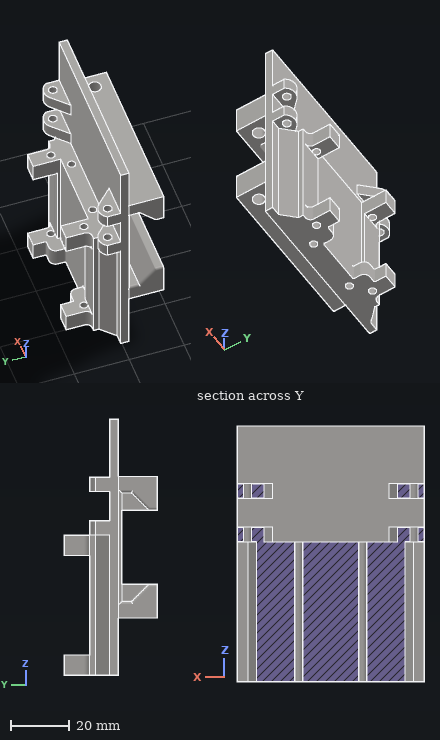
import cadquery as cq


PLATE_WIDTH = 64.3
PLATE_HEIGHT = 88.0
PLATE_THICKNESS = 3.0

CARRIAGE_HEIGHT = 48.1
CARRIAGE_HALF_WIDTH = 23.5
CARRIAGE_TOP_Y = 9.9
FLARE_RISE = 4.9
RECESS_Y = 8.6
CARRIAGE_HOLE_X = 11.0
CARRIAGE_HOLE_Y = 5.8
SMALL_HOLE_DIAMETER = 2.7

POST_CENTER_X = 17.25
POST_WIDTH = 5.7
POST_TOP_Y = 18.7
POST_HEIGHT = 7.0
POST_HOLE_Y = 11.2
POST_ROOT_RADIUS = 2.0

TAB_LENGTH = 5.2
TAB_TOP_Y = 13.9
TAB_CORNER_RADIUS = 2.5
TAB_ROOT_RADIUS = 0.4

EAR_CENTER_X = 28.6
EAR_RADIUS = 4.1
EAR_TOP_Y = CARRIAGE_TOP_Y
EAR_HEIGHT = 5.0
EAR_PITCH = 15.0
EAR_HOLE_Y = 6.5
EAR_HOLE_DIAMETER = 3.0

HOLDER_WIDTH = 60.0
HOLDER_HEIGHT = 48.75
HOLDER_DEPTH = 13.5
HOLDER_CENTER_Z = PLATE_HEIGHT / 2
FLOOR_THICKNESS = 1.2
CHANNEL_HALF_HEIGHT = 18.7
LIP_HALF_HEIGHT = 12.7
CHANNEL_WALL_DEPTH = 4.6
END_BLOCK_LENGTH = 9.9
LOCK_HOLE_DIAMETER = 4.5
LOCK_HOLE_X = 25.0
LOCK_HOLE_Y = -7.5
ENTRY_RADIUS = 1.0
END_WALL_RADIUS = 0.4
EDGE_MARGIN = 0.1

SIDES = (-1, 1)
ARC_INSET = 1 - 0.5**0.5


def prism(outline, z_bottom, height):
    """Extrude a closed XY outline upward from z_bottom."""
    return outline.close().extrude(height).translate((0, 0, z_bottom))


def vertical_hole(x, y, diameter, height):
    """Cutter for a hole along Z, starting at Z = 0."""
    return cq.Workplane("XY").center(x, y).circle(diameter / 2).extrude(height)


def make_plate():
    return cq.Workplane("XY").box(
        PLATE_WIDTH, PLATE_THICKNESS, PLATE_HEIGHT, centered=(True, False, False)
    )


def make_ear(side, z_bottom):
    """Ear flush with the plate side, round on top, with a 45 degree inner slope."""
    edge_x = PLATE_WIDTH / 2
    center_y = EAR_TOP_Y - EAR_RADIUS
    edge_dx = edge_x - EAR_CENTER_X
    edge_y = center_y + (EAR_RADIUS**2 - edge_dx**2) ** 0.5
    tangent = EAR_RADIUS / 2**0.5
    tangent_x = EAR_CENTER_X - tangent
    tangent_y = center_y + tangent
    foot_x = tangent_x - (tangent_y - PLATE_THICKNESS)
    outline = (
        cq.Workplane("XY")
        .moveTo(side * edge_x, PLATE_THICKNESS)
        .lineTo(side * edge_x, edge_y)
        .threePointArc((side * EAR_CENTER_X, EAR_TOP_Y), (side * tangent_x, tangent_y))
        .lineTo(side * foot_x, PLATE_THICKNESS)
    )
    ear = prism(outline, z_bottom, EAR_HEIGHT)
    return ear.cut(vertical_hole(side * EAR_CENTER_X, EAR_HOLE_Y, EAR_HOLE_DIAMETER, PLATE_HEIGHT))


def make_carriage_base():
    """Full-height base that flares at 45 degrees onto the plate, with a trough in its back."""
    foot_x = CARRIAGE_HALF_WIDTH + FLARE_RISE
    flare_y = PLATE_THICKNESS + FLARE_RISE
    trough_x = POST_CENTER_X - POST_WIDTH / 2
    outline = cq.Workplane("XY").polyline([
        (-foot_x, PLATE_THICKNESS),
        (-CARRIAGE_HALF_WIDTH, flare_y),
        (-CARRIAGE_HALF_WIDTH, CARRIAGE_TOP_Y),
        (-trough_x, CARRIAGE_TOP_Y),
        (-trough_x, RECESS_Y),
        (trough_x, RECESS_Y),
        (trough_x, CARRIAGE_TOP_Y),
        (CARRIAGE_HALF_WIDTH, CARRIAGE_TOP_Y),
        (CARRIAGE_HALF_WIDTH, flare_y),
        (foot_x, PLATE_THICKNESS),
    ])
    return prism(outline, 0, CARRIAGE_HEIGHT)


def make_post(side, z_bottom):
    """Post with a concave fillet at the outer side of its root."""
    inner_x = POST_CENTER_X - POST_WIDTH / 2
    outer_x = POST_CENTER_X + POST_WIDTH / 2
    arc_inset = POST_ROOT_RADIUS * ARC_INSET
    outline = (
        cq.Workplane("XY")
        .moveTo(side * inner_x, RECESS_Y)
        .lineTo(side * inner_x, POST_TOP_Y)
        .lineTo(side * outer_x, POST_TOP_Y)
        .lineTo(side * outer_x, CARRIAGE_TOP_Y + POST_ROOT_RADIUS)
        .threePointArc(
            (side * (outer_x + arc_inset), CARRIAGE_TOP_Y + arc_inset),
            (side * (outer_x + POST_ROOT_RADIUS), CARRIAGE_TOP_Y),
        )
        .lineTo(side * (outer_x + POST_ROOT_RADIUS), RECESS_Y)
    )
    return prism(outline, z_bottom, POST_HEIGHT)


def make_tab(side):
    """Tab at the bottom, in the corner of post and trough, with a rounded free corner."""
    root_x = POST_CENTER_X - POST_WIDTH / 2
    tip_x = root_x - TAB_LENGTH
    corner_inset = TAB_CORNER_RADIUS * ARC_INSET
    root_inset = TAB_ROOT_RADIUS * ARC_INSET
    outline = (
        cq.Workplane("XY")
        .moveTo(side * root_x, RECESS_Y)
        .lineTo(side * root_x, TAB_TOP_Y + TAB_ROOT_RADIUS)
        .threePointArc(
            (side * (root_x - root_inset), TAB_TOP_Y + root_inset),
            (side * (root_x - TAB_ROOT_RADIUS), TAB_TOP_Y),
        )
        .lineTo(side * (tip_x + TAB_CORNER_RADIUS), TAB_TOP_Y)
        .threePointArc(
            (side * (tip_x + corner_inset), TAB_TOP_Y - corner_inset),
            (side * tip_x, TAB_TOP_Y - TAB_CORNER_RADIUS),
        )
        .lineTo(side * tip_x, RECESS_Y + TAB_ROOT_RADIUS)
        .threePointArc(
            (side * (tip_x - root_inset), RECESS_Y + root_inset),
            (side * (tip_x - TAB_ROOT_RADIUS), RECESS_Y),
        )
    )
    return prism(outline, 0, POST_HEIGHT)


def make_carriage():
    carriage = make_carriage_base()
    for side in SIDES:
        for z_bottom in (0, CARRIAGE_HEIGHT - POST_HEIGHT):
            carriage = carriage.union(make_post(side, z_bottom))
        carriage = carriage.union(make_tab(side))
    for side in SIDES:
        for x, y in ((POST_CENTER_X, POST_HOLE_Y), (CARRIAGE_HOLE_X, CARRIAGE_HOLE_Y)):
            carriage = carriage.cut(vertical_hole(side * x, y, SMALL_HOLE_DIAMETER, CARRIAGE_HEIGHT))
    return carriage


def make_backplate():
    backplate = make_plate().union(make_carriage())
    for side in SIDES:
        for z_bottom in (CARRIAGE_HEIGHT, CARRIAGE_HEIGHT + EAR_PITCH):
            backplate = backplate.union(make_ear(side, z_bottom))
    return backplate


def make_channel():
    """Cutter for the undercut channel; it is open at -X and stops at the end blocks."""
    slope_end_y = -CHANNEL_WALL_DEPTH - (CHANNEL_HALF_HEIGHT - LIP_HALF_HEIGHT)
    profile = [
        (-FLOOR_THICKNESS, -CHANNEL_HALF_HEIGHT),
        (-CHANNEL_WALL_DEPTH, -CHANNEL_HALF_HEIGHT),
        (slope_end_y, -LIP_HALF_HEIGHT),
        (slope_end_y, LIP_HALF_HEIGHT),
        (-CHANNEL_WALL_DEPTH, CHANNEL_HALF_HEIGHT),
        (-FLOOR_THICKNESS, CHANNEL_HALF_HEIGHT),
    ]
    return (
        cq.Workplane("YZ")
        .polyline(profile)
        .close()
        .extrude(HOLDER_WIDTH - END_BLOCK_LENGTH)
        .translate((-HOLDER_WIDTH / 2, 0, 0))
    )


def make_holder():
    """Rail holder, modelled around Z = 0 and then lifted to the middle of the plate."""
    entry_x = -HOLDER_WIDTH / 2
    wall_x = HOLDER_WIDTH / 2 - END_BLOCK_LENGTH
    block = cq.Workplane("XY").box(HOLDER_WIDTH, HOLDER_DEPTH, HOLDER_HEIGHT)
    block = block.translate((0, -HOLDER_DEPTH / 2, 0))
    opening = (
        cq.Workplane("XY")
        .box(HOLDER_WIDTH, HOLDER_DEPTH, 2 * LIP_HALF_HEIGHT)
        .translate((0, -HOLDER_DEPTH / 2 - FLOOR_THICKNESS, 0))
    )
    holder = block.cut(opening).cut(make_channel())

    mouth_edges = cq.selectors.BoxSelector(
        (entry_x - EDGE_MARGIN, -HOLDER_DEPTH + EDGE_MARGIN, -CHANNEL_HALF_HEIGHT - EDGE_MARGIN),
        (entry_x + EDGE_MARGIN, -EDGE_MARGIN, CHANNEL_HALF_HEIGHT + EDGE_MARGIN),
    )
    holder = holder.edges(mouth_edges).fillet(ENTRY_RADIUS)

    channel_side = (LIP_HALF_HEIGHT + EDGE_MARGIN, CHANNEL_HALF_HEIGHT + EDGE_MARGIN)
    opening_side = (LIP_HALF_HEIGHT - EDGE_MARGIN, LIP_HALF_HEIGHT + EDGE_MARGIN)
    for near_z, far_z in (channel_side, opening_side):
        for side in SIDES:
            end_wall_edges = cq.selectors.BoxSelector(
                (wall_x - EDGE_MARGIN, -HOLDER_DEPTH, side * near_z),
                (wall_x + EDGE_MARGIN, -FLOOR_THICKNESS - EDGE_MARGIN, side * far_z),
            )
            holder = holder.edges(end_wall_edges).fillet(END_WALL_RADIUS)

    lock_hole = vertical_hole(LOCK_HOLE_X, LOCK_HOLE_Y, LOCK_HOLE_DIAMETER, HOLDER_HEIGHT)
    holder = holder.cut(lock_hole.translate((0, 0, -HOLDER_HEIGHT / 2)))
    return holder.translate((0, 0, HOLDER_CENTER_Z))


backplate = make_backplate()
holder = make_holder()

result = cq.Compound.makeCompound([backplate.val(), holder.val()])